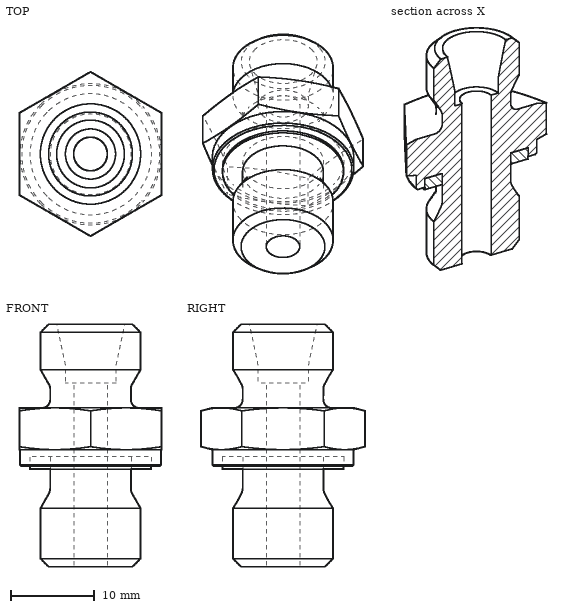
import cadquery as cq
import math

total_height = 29.0
thread_radius = 12.0 / 2
neck_radius = 9.7 / 2
end_chamfer = 1.0
thread_runout_angle = math.radians(30)
runout_height = (thread_radius - neck_radius) / math.tan(thread_runout_angle)
lower_thread_top = 7.0
upper_thread_bottom = 23.58
lower_neck_fillet = 1.2
upper_neck_fillet = 0.8
hex_root_fillet = 1.0

hex_across_flats = 17.02
hex_bottom = 14.0
hex_height = 5.0
hex_top = hex_bottom + hex_height
hex_chamfer_angle = math.radians(15)

collar_radius = 16.9 / 2
collar_bottom = 12.0
collar_chamfer = 0.2

seal_radius = 14.5 / 2
seal_thickness = 1.5
seal_protrusion = 0.32
seal_bottom = collar_bottom - seal_protrusion

bore_radius = 4.0 / 2
socket_radius = 6.0 / 2
socket_mouth_radius = 8.12 / 2
socket_depth = 7.0
socket_taper_angle = math.radians(12)
taper_depth = (socket_mouth_radius - socket_radius) / math.tan(socket_taper_angle)


def revolve_about_z(outline):
    """Revolve a closed radius-height outline about the Z axis."""
    return outline.close().revolve(360, (0, 0, 0), (0, 1, 0))


def ring_edge(radius, z):
    """Select the circular edge of the given radius at the given height."""
    tolerance = 0.003
    return cq.selectors.BoxSelector(
        (-radius - tolerance, -radius - tolerance, z - tolerance),
        (radius + tolerance, radius + tolerance, z + tolerance),
        boundingbox=True,
    )


def make_hexagon():
    """Hexagon with its corners bevelled at both ends."""
    flat_radius = hex_across_flats / 2
    corner_radius = flat_radius / math.cos(math.radians(30))
    corner_drop = (corner_radius - flat_radius) * math.tan(hex_chamfer_angle)
    prism = (
        cq.Workplane("XY", origin=(0, 0, hex_bottom))
        .polygon(6, 2 * corner_radius)
        .extrude(hex_height)
        .rotate((0, 0, 0), (0, 0, 1), 30)
    )
    bevel_envelope = revolve_about_z(
        cq.Workplane("XZ")
        .moveTo(0, hex_bottom)
        .lineTo(flat_radius, hex_bottom)
        .lineTo(corner_radius, hex_bottom + corner_drop)
        .lineTo(corner_radius, hex_top - corner_drop)
        .lineTo(flat_radius, hex_top)
        .lineTo(0, hex_top)
    )
    return prism.intersect(bevel_envelope)


def make_stem():
    """Both threaded ends and the necks that join them to the hexagon."""
    return revolve_about_z(
        cq.Workplane("XZ")
        .moveTo(0, 0)
        .lineTo(thread_radius - end_chamfer, 0)
        .lineTo(thread_radius, end_chamfer)
        .lineTo(thread_radius, lower_thread_top)
        .lineTo(neck_radius, lower_thread_top + runout_height)
        .lineTo(neck_radius, upper_thread_bottom - runout_height)
        .lineTo(thread_radius, upper_thread_bottom)
        .lineTo(thread_radius, total_height - end_chamfer)
        .lineTo(thread_radius - end_chamfer, total_height)
        .lineTo(0, total_height)
    )


def make_collar():
    """Round collar with a seal groove open towards the lower end."""
    collar = (
        cq.Workplane("XY", origin=(0, 0, collar_bottom))
        .circle(collar_radius)
        .extrude(hex_bottom - collar_bottom)
        .faces("<Z").edges().chamfer(collar_chamfer)
    )
    return collar.cut(make_seal())


def make_bore():
    """Through bore opening into the cylindrical and tapered tube socket."""
    return revolve_about_z(
        cq.Workplane("XZ")
        .lineTo(bore_radius, 0)
        .lineTo(bore_radius, total_height - socket_depth)
        .lineTo(socket_radius, total_height - socket_depth)
        .lineTo(socket_radius, total_height - taper_depth)
        .lineTo(socket_mouth_radius, total_height)
        .lineTo(0, total_height)
    )


def make_fitting():
    """Double-ended threaded fitting."""
    fitting = make_stem().union(make_hexagon()).union(make_collar())
    neck_fillets = [
        (lower_thread_top + runout_height, lower_neck_fillet),
        (upper_thread_bottom - runout_height, upper_neck_fillet),
        (hex_top, hex_root_fillet),
    ]
    for edge_height, fillet_radius in neck_fillets:
        fitting = fitting.edges(ring_edge(neck_radius, edge_height)).fillet(fillet_radius)
    return fitting.cut(make_bore())


def make_seal():
    """Flat seal ring around the lower neck."""
    return (
        cq.Workplane("XY", origin=(0, 0, seal_bottom))
        .circle(seal_radius)
        .circle(neck_radius)
        .extrude(seal_thickness)
    )


fitting = make_fitting()
seal = make_seal()
result = cq.Compound.makeCompound([fitting.val(), seal.val()])